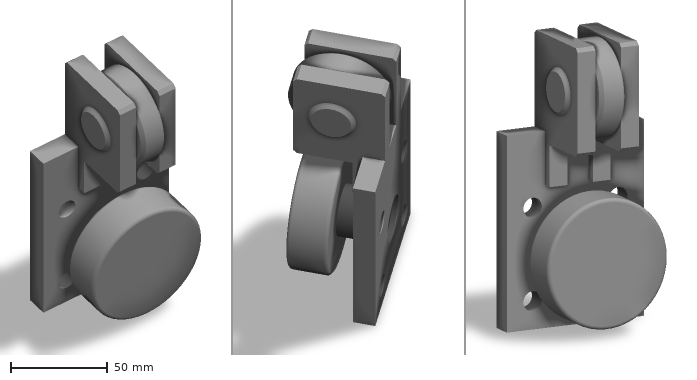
import cadquery as cq

plate_thickness = 12.0
plate_width = 80.0
plate_height = 105.0

hole_diameter = 10.7
hole_mouth_diameter = 12.2
hole_mouth_angle = 90
hole_spacing = 50.0

lower_axis_z = 40.0
lower_roller_diameter = 69.9
lower_roller_width = 22.0
lower_roller_fillet = 2.0
lower_hub_diameter = 28.0

overall_height = 157.0
lug_depth = 49.0
lug_gap = 14.9
lug_thickness = 10.4
lug_bottom_z = 99.0
lug_chamfer = 2.0
tongue_depth = 17.3
tongue_bottom_z = 76.3
tongue_corner_radius = 1.0

upper_axis_x = 28.3
upper_axis_z = 129.8
upper_roller_diameter = 52.5
upper_roller_width = 14.1
upper_roller_front_chamfer = 2.0
upper_roller_back_chamfer = 1.0

pin_diameter = 25.7
pin_chamfer = 2.2
lower_pin_recess = 3.0


def make_plate():
    plate = cq.Workplane("XY").box(
        plate_thickness, plate_width, plate_height, centered=(False, True, False)
    )
    return (
        plate.faces("<X")
        .workplane(origin=(0, 0, lower_axis_z))
        .rect(hole_spacing, hole_spacing, forConstruction=True)
        .vertices()
        .cskHole(hole_diameter, hole_mouth_diameter, hole_mouth_angle)
    )


def recess_lower_pin(plate):
    """Sink the chamfered end of the lower pin below the back face of the plate."""
    bore = (
        cq.Workplane("YZ", origin=(0, 0, lower_axis_z))
        .circle(pin_diameter / 2)
        .extrude(lower_pin_recess + pin_chamfer)
    )
    pin_end = (
        cq.Workplane("YZ", origin=(lower_pin_recess, 0, lower_axis_z))
        .circle(pin_diameter / 2)
        .extrude(plate_thickness - lower_pin_recess)
        .faces("<X")
        .chamfer(pin_chamfer)
    )
    return plate.cut(bore).union(pin_end)


def make_lower_roller():
    roller_start = lug_depth - lower_roller_width
    hub = (
        cq.Workplane("YZ", origin=(plate_thickness, 0, lower_axis_z))
        .circle(lower_hub_diameter / 2)
        .extrude(roller_start - plate_thickness)
    )
    roller = (
        cq.Workplane("YZ", origin=(roller_start, 0, lower_axis_z))
        .circle(lower_roller_diameter / 2)
        .extrude(lower_roller_width)
        .edges()
        .fillet(lower_roller_fillet)
    )
    return hub.union(roller)


def make_lug(center_y):
    lug = (
        cq.Workplane("XZ", origin=(0, center_y, 0))
        .moveTo(0, tongue_bottom_z)
        .lineTo(tongue_depth, tongue_bottom_z)
        .lineTo(tongue_depth, lug_bottom_z)
        .lineTo(lug_depth, lug_bottom_z)
        .lineTo(lug_depth, overall_height)
        .lineTo(0, overall_height)
        .close()
        .extrude(lug_thickness / 2, both=True)
    )
    lug = lug.edges("|Y").edges(">Z or >X").chamfer(lug_chamfer)
    inner_corner = cq.selectors.NearestToPointSelector((tongue_depth, center_y, lug_bottom_z))
    return lug.edges("|Y").edges(inner_corner).fillet(tongue_corner_radius)


def make_upper_roller():
    roller = (
        cq.Workplane("XZ", origin=(upper_axis_x, 0, upper_axis_z))
        .circle(upper_roller_diameter / 2)
        .extrude(upper_roller_width / 2, both=True)
    )
    roller = roller.faces("<Y").chamfer(upper_roller_front_chamfer)
    roller = roller.faces(">Y").chamfer(upper_roller_back_chamfer)
    pin_length = lug_gap + 2 * (lug_thickness + pin_chamfer)
    pin = (
        cq.Workplane("XZ", origin=(upper_axis_x, 0, upper_axis_z))
        .circle(pin_diameter / 2)
        .extrude(pin_length / 2, both=True)
        .faces("<Y or >Y")
        .chamfer(pin_chamfer)
    )
    return roller.union(pin)


result = recess_lower_pin(make_plate()).union(make_lower_roller())
lug_offset = (lug_gap + lug_thickness) / 2
for side in (-1, 1):
    result = result.union(make_lug(side * lug_offset))
result = result.union(make_upper_roller())